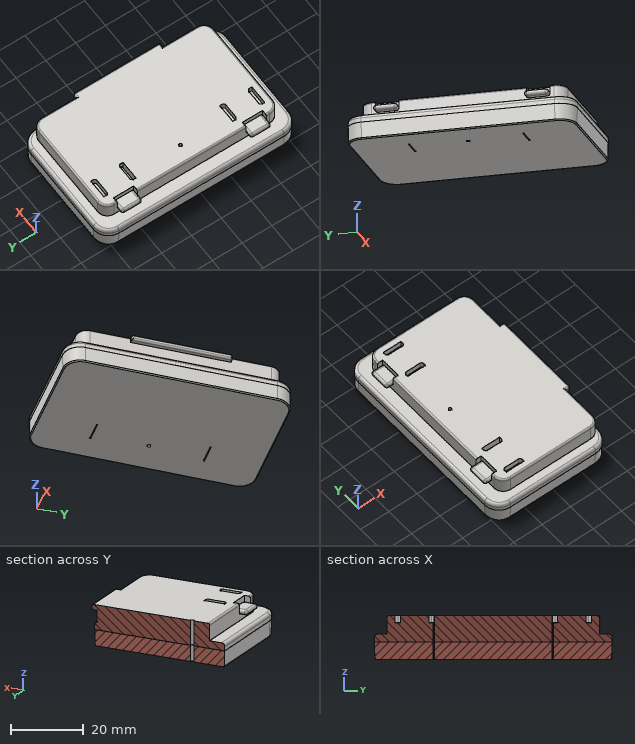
import cadquery as cq

base_width = 40.1
base_length = 65.5
base_corner_radius = 5.05

parting_height = 4.85
shoulder_height = 7.1
total_height = 12.1

lower_draft = 1.5
bottom_chamfer = 0.3

shoulder_fillet = 1.0
block_left = -15.4
block_right = 19.3
block_length = 58.6
block_corner_radius = 3.2
edge_fillet = 0.5

lip_right = 20.8
lip_length = 28.95
lip_height = 1.7

tab_left = -17.75
tab_right = -13.6
tab_width = 6.75
tab_thickness = 1.5
tab_bottom = 8.9
tab_spacing = 43.2

slot_left = -11.8
slot_length = 6.2
slot_width = 1.5
slot_depth = 1.95
slot_corner_radius = 0.7
slot_outer_offset = 5.4
slit_width = 0.25

pinhole_x = -9.95
pinhole_diameter = 1.0

tab_centres = [-tab_spacing / 2, tab_spacing / 2]
block_width = block_right - block_left
block_centre_x = (block_left + block_right) / 2
tab_radius = tab_thickness / 2
tab_middle_height = tab_bottom + tab_radius


def rounded_plate(width, length, radius, bottom, height, centre_x=0.0):
    """Upright plate with rounded vertical corners."""
    return (
        cq.Workplane("XY", origin=(centre_x, 0, bottom))
        .rect(width, length)
        .extrude(height)
        .edges("|Z")
        .fillet(radius)
    )


def box_between(x_min, x_max, y_centre, y_size, bottom, top):
    """Plain box given by its X range, Y centre and size, and Z range."""
    return (
        cq.Workplane("XY", origin=((x_min + x_max) / 2, y_centre, bottom))
        .rect(x_max - x_min, y_size)
        .extrude(top - bottom)
    )


def make_tab(y_centre):
    """Hinge tab: a flat core with a full round along its three outer edges and ball-shaped corners."""
    core_left = tab_left + tab_radius
    core_width = tab_width - tab_thickness
    tab = box_between(core_left, tab_right, y_centre, core_width, tab_bottom, tab_bottom + tab_thickness)
    outer_round = (
        cq.Workplane("XZ", origin=(core_left, y_centre, tab_middle_height))
        .circle(tab_radius)
        .extrude(core_width / 2, both=True)
    )
    tab = tab.union(outer_round)
    for side in (-1, 1):
        corner = (core_left, y_centre + side * core_width / 2, tab_middle_height)
        side_round = cq.Workplane("YZ", origin=corner).circle(tab_radius).extrude(tab_right - core_left)
        corner_ball = cq.Workplane("XY", origin=corner).sphere(tab_radius)
        tab = tab.union(side_round).union(corner_ball)
    return tab


def tab_notch(y_centre):
    """Opening above the middle of a tab, up through the top of the block."""
    return box_between(tab_left, tab_right, y_centre, tab_width, tab_middle_height, total_height)


def make_slot(y_centre, side):
    """Blind slot beside a tab; side is +1 or -1, the direction of its straight side."""
    straight_y = y_centre + side * slot_outer_offset
    slot = box_between(
        slot_left,
        slot_left + slot_length,
        straight_y - side * slot_width / 2,
        slot_width,
        total_height - slot_depth,
        total_height,
    )
    rounded_side = "<Y" if side > 0 else ">Y"
    return slot.edges("|Z").edges(rounded_side).fillet(slot_corner_radius)


def make_slit(y_centre, side):
    """Narrow through gap along the straight side of a slot."""
    slit_y = y_centre + side * (slot_outer_offset - slit_width / 2)
    return box_between(slot_left, slot_left + slot_length, slit_y, slit_width, 0, total_height)


def make_through_openings():
    """Pinhole and slits, which pass through both shells; only the slots nearest the middle have slits."""
    openings = (
        cq.Workplane("XY", origin=(pinhole_x, 0, 0))
        .circle(pinhole_diameter / 2)
        .extrude(total_height)
    )
    for y_centre in tab_centres:
        side_towards_middle = -1 if y_centre > 0 else 1
        openings = openings.add(make_slit(y_centre, side_towards_middle))
    return openings.combine()


def make_lower_shell():
    """Drafted lower half of the base with a chamfered underside."""
    outline = cq.Sketch().rect(base_width, base_length).vertices().fillet(base_corner_radius)
    shell = (
        cq.Workplane("XY", origin=(0, 0, parting_height))
        .placeSketch(outline)
        .extrude(-parting_height, taper=lower_draft)
    )
    return shell.faces("<Z").edges().chamfer(bottom_chamfer)


def make_upper_shell():
    """Rim with a rounded shoulder, carrying the raised block and its catch lip."""
    rim = rounded_plate(
        base_width, base_length, base_corner_radius, parting_height, shoulder_height - parting_height
    )
    rim = rim.faces(">Z").edges().fillet(shoulder_fillet)
    block = rounded_plate(
        block_width,
        block_length,
        block_corner_radius,
        shoulder_height,
        total_height - shoulder_height,
        block_centre_x,
    )
    lip = box_between(block_centre_x, lip_right, 0, lip_length, total_height - lip_height, total_height)
    lip = lip.edges(">X").edges("|Z or <Z").fillet(edge_fillet)
    block = block.union(lip).faces(">Z").edges().fillet(edge_fillet)
    return rim.union(block)


through_openings = make_through_openings()
tabs = [make_tab(y_centre) for y_centre in tab_centres]
lower_shell = make_lower_shell().cut(through_openings)
upper_shell = make_upper_shell()
for y_centre, tab in zip(tab_centres, tabs):
    upper_shell = upper_shell.cut(tab_notch(y_centre)).cut(tab)
    for side in (-1, 1):
        upper_shell = upper_shell.cut(make_slot(y_centre, side))
upper_shell = upper_shell.cut(through_openings)

result = cq.Compound.makeCompound(
    [*lower_shell.solids().vals(), *upper_shell.solids().vals(), *[tab.solids().val() for tab in tabs]]
)